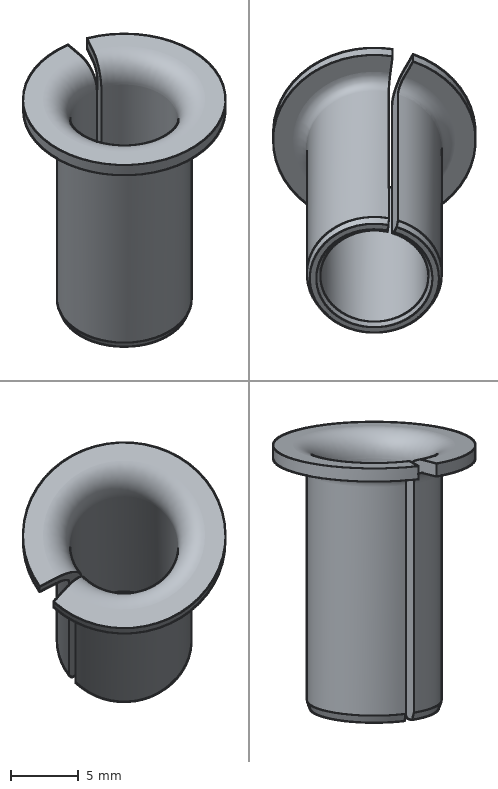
import cadquery as cq
import math

length = 20.0
bore_radius = 4.0
wall = 1.0
flange_radius = 7.5
bore_bend_radius = 2.0
outer_chamfer_height = 0.6
outer_chamfer_angle = 20.0
inner_chamfer = 0.3
slot_half_angle = 10.0
slot_half_width_at_bore = 0.18

tube_radius = bore_radius + wall
bend_centre_radius = bore_radius + bore_bend_radius
outer_bend_radius = bore_bend_radius - wall
bend_base_z = length - bore_bend_radius
outer_chamfer_width = outer_chamfer_height * math.tan(math.radians(outer_chamfer_angle))


def bend_midpoint(radius):
    """Middle of the quarter bend of the given radius, as (radial, height)."""
    offset = radius * math.sqrt(0.5)
    return bend_centre_radius - offset, bend_base_z + offset


def make_flanged_sleeve():
    """Revolve the constant-thickness wall section about Z."""
    section = (
        cq.Workplane("XZ")
        .moveTo(bore_radius + inner_chamfer, 0)
        .lineTo(tube_radius - outer_chamfer_width, 0)
        .lineTo(tube_radius, outer_chamfer_height)
        .lineTo(tube_radius, bend_base_z)
        .threePointArc(bend_midpoint(outer_bend_radius), (bend_centre_radius, length - wall))
        .lineTo(flange_radius, length - wall)
        .lineTo(flange_radius, length)
        .lineTo(bend_centre_radius, length)
        .threePointArc(bend_midpoint(bore_bend_radius), (bore_radius, bend_base_z))
        .lineTo(bore_radius, inner_chamfer)
        .close()
    )
    sleeve = section.revolve(360, (0, 0, 0), (0, 1, 0))
    return sleeve.rotate((0, 0, 0), (0, 0, 1), 180)


def make_slot_wedge():
    """Full-length wedge that opens outward on the -X side."""
    slope = math.tan(math.radians(slot_half_angle))
    apex_x = -bore_radius + slot_half_width_at_bore / slope
    mouth_x = -(flange_radius + wall)
    mouth_half_width = (apex_x - mouth_x) * slope
    return (
        cq.Workplane("XY")
        .moveTo(apex_x, 0)
        .lineTo(mouth_x, mouth_half_width)
        .lineTo(mouth_x, -mouth_half_width)
        .close()
        .extrude(length)
    )


result = make_flanged_sleeve().cut(make_slot_wedge())